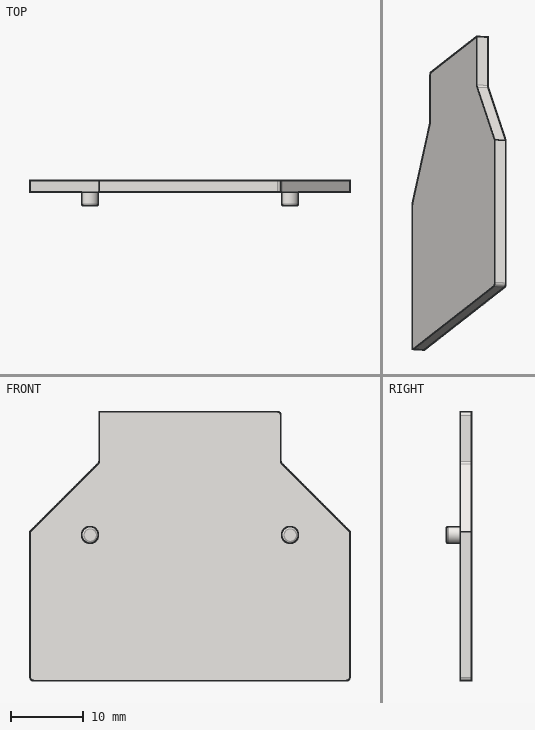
import cadquery as cq

plate_width = 44.0
plate_height = 37.0
tab_width = 25.0
tab_height = 7.0
corner_radius = 0.5

plate_thickness = 1.6
overall_depth = 3.5
pin_length = overall_depth - plate_thickness

pin_diameter = 2.3
pin_spacing = 27.5
pin_height = 20.05
pin_tip_radius = 0.3

half_width = plate_width / 2
half_tab = tab_width / 2
neck_z = plate_height - tab_height
shoulder_z = neck_z - (half_width - half_tab)


def edge_at(x, z):
    """Select the plate's through-thickness edge at a corner of the outline."""
    return cq.selectors.NearestToPointSelector((x, plate_thickness / 2, z))


def make_plate():
    """Plate with a narrower tab on top, front face at Y = 0, bottom at Z = 0."""
    outline = [
        (-half_width, 0),
        (half_width, 0),
        (half_width, shoulder_z),
        (half_tab, neck_z),
        (half_tab, plate_height),
        (-half_tab, plate_height),
        (-half_tab, neck_z),
        (-half_width, shoulder_z),
    ]
    plate = cq.Workplane("XZ").polyline(outline).close().extrude(-plate_thickness)

    rounded_corners = [
        (-half_width, 0),
        (half_width, 0),
        (-half_tab, neck_z),
        (half_tab, neck_z),
        (half_tab, plate_height),
    ]
    for x, z in rounded_corners:
        plate = plate.edges("|Y").edges(edge_at(x, z)).fillet(corner_radius)
    return plate


def make_pin(x):
    """Round-tipped pin standing out of the front face toward -Y."""
    pin = cq.Workplane("XZ").center(x, pin_height).circle(pin_diameter / 2).extrude(pin_length)
    return pin.faces("<Y").edges().fillet(pin_tip_radius)


result = make_plate()
for side in (-1, 1):
    result = result.union(make_pin(side * pin_spacing / 2))